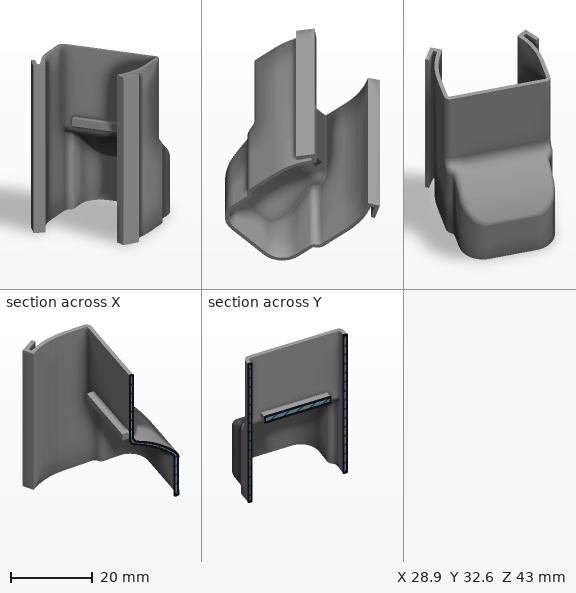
import cadquery as cq
import math

HEIGHT = 43.0
WALL = 1.0

BODY_HALF_WIDTH = 13.5
LEG_START_Y = 11.5
SHOULDER_Y = 19.52
SHOULDER_RADIUS = 2.5
NECK_RADIUS = 0.7
HUMP_HALF_WIDTH = 12.05
HUMP_BACK_Y = 32.65
HUMP_CORNER_RADIUS = 6.0

BACK_WALL_Y = 19.18
BEND_Z = 23.15
BEND_RADIUS = 1.98
BEND_ANGLE = math.radians(68)
DOME_RADIUS = 27.95
EDGE_RADIUS = 1.5

LEG_INNER_RADIUS = 17.85
HOOK_TILT = math.radians(32)
LEG_TIP_LENGTH = 0.5
HOOK_WIDTH = 3.0
LIP_LENGTH = 4.5

TAB_WIDTH = 18.05
TAB_DEPTH = 1.98
TAB_HEIGHT = 1.95


def polar(center, radius, angle):
    """Point at the given radius and angle around a center."""
    return (center[0] + radius * math.cos(angle), center[1] + radius * math.sin(angle))


def plan_prism(inset):
    """Full-height prism of the body and hump outline, moved inward by inset."""
    body_x = BODY_HALF_WIDTH - inset
    hump_x = HUMP_HALF_WIDTH - inset
    back_y = HUMP_BACK_Y - inset
    shoulder_r = SHOULDER_RADIUS - inset
    neck_r = NECK_RADIUS + inset
    corner_r = HUMP_CORNER_RADIUS - inset

    shoulder_center = (body_x - shoulder_r, SHOULDER_Y)
    neck_center_x = hump_x + neck_r
    neck_angle = math.acos((neck_center_x - shoulder_center[0]) / (shoulder_r + neck_r))
    neck_center = polar(shoulder_center, shoulder_r + neck_r, neck_angle)
    corner_center = (hump_x - corner_r, back_y - corner_r)
    neck_mid_angle = math.pi + neck_angle / 2

    half = (
        cq.Workplane("XY")
        .moveTo(0, LEG_START_Y)
        .lineTo(body_x, LEG_START_Y)
        .lineTo(body_x, SHOULDER_Y)
        .threePointArc(
            polar(shoulder_center, shoulder_r, neck_angle / 2),
            polar(shoulder_center, shoulder_r, neck_angle),
        )
        .threePointArc(polar(neck_center, neck_r, neck_mid_angle), (hump_x, neck_center[1]))
        .lineTo(hump_x, corner_center[1])
        .threePointArc(polar(corner_center, corner_r, math.pi / 4), (corner_center[0], back_y))
        .lineTo(0, back_y)
    )
    return half.mirrorY().extrude(HEIGHT)


def side_prism(inset):
    """Prism of the side profile: straight upper back, outward bend and domed hump top."""
    bend_r = BEND_RADIUS + inset
    dome_r = DOME_RADIUS - inset
    wall_y = BACK_WALL_Y - inset
    back_y = HUMP_BACK_Y - inset
    bend_center = (wall_y + bend_r, BEND_Z)
    dome_center = polar(bend_center, bend_r + dome_r, math.pi + BEND_ANGLE)
    dome_end_angle = math.acos((back_y - dome_center[0]) / dome_r)

    return (
        cq.Workplane("YZ", origin=(-BODY_HALF_WIDTH, 0, 0))
        .moveTo(LEG_START_Y, 0)
        .lineTo(back_y, 0)
        .lineTo(*polar(dome_center, dome_r, dome_end_angle))
        .threePointArc(
            polar(dome_center, dome_r, (dome_end_angle + BEND_ANGLE) / 2),
            polar(dome_center, dome_r, BEND_ANGLE),
        )
        .threePointArc(polar(bend_center, bend_r, math.pi + BEND_ANGLE / 2), (wall_y, BEND_Z))
        .lineTo(wall_y, HEIGHT)
        .lineTo(LEG_START_Y, HEIGHT)
        .close()
        .extrude(2 * BODY_HALF_WIDTH)
    )


def rounded_block(inset):
    """Body and hump as a solid, with the rim of its back surface rounded."""
    block = plan_prism(inset).intersect(side_prism(inset))
    corner = (BODY_HALF_WIDTH - inset, BACK_WALL_Y - inset, (BEND_Z + HEIGHT) / 2)
    rim = block.edges(cq.selectors.NearestToPointSelector(corner))
    other_rim = block.edges(cq.selectors.NearestToPointSelector((-corner[0], corner[1], corner[2])))
    return block.newObject(rim.vals() + other_rim.vals()).fillet(EDGE_RADIUS - inset)


def leg():
    """Right-hand leg: wall curving inward and ending in an outward-turned hook."""
    along = (math.sin(HOOK_TILT), math.cos(HOOK_TILT))
    across = (math.cos(HOOK_TILT), -math.sin(HOOK_TILT))

    inner_x = BODY_HALF_WIDTH - WALL
    outer_radius = LEG_INNER_RADIUS + WALL
    center = (inner_x - LEG_INNER_RADIUS, LEG_START_Y)
    inner_end = polar(center, LEG_INNER_RADIUS, -HOOK_TILT)
    corner = (inner_end[0] - LEG_TIP_LENGTH * along[0], inner_end[1] - LEG_TIP_LENGTH * along[1])

    def hook_point(u, v):
        """Point u across the hook and v up from its floor."""
        return (corner[0] + u * across[0] + v * along[0], corner[1] + u * across[1] + v * along[1])

    wall = (
        cq.Workplane("XY")
        .moveTo(inner_x, LEG_START_Y)
        .threePointArc(polar(center, LEG_INNER_RADIUS, -HOOK_TILT / 2), inner_end)
        .lineTo(*corner)
        .lineTo(*hook_point(WALL, 0))
        .lineTo(*hook_point(WALL, LEG_TIP_LENGTH))
        .threePointArc(polar(center, outer_radius, -HOOK_TILT / 2), (BODY_HALF_WIDTH, LEG_START_Y))
        .close()
        .extrude(HEIGHT)
    )
    hook_outline = [
        hook_point(WALL / 2, 0),
        hook_point(HOOK_WIDTH, 0),
        hook_point(HOOK_WIDTH, LIP_LENGTH),
        hook_point(HOOK_WIDTH - WALL, LIP_LENGTH),
        hook_point(HOOK_WIDTH - WALL, WALL),
        hook_point(WALL / 2, WALL),
    ]
    hook = cq.Workplane("XY").polyline(hook_outline).close().extrude(HEIGHT)
    return wall.union(hook)


def tab():
    """Small stop bar on the inside of the back wall, just above the bend."""
    tab_back_y = BACK_WALL_Y - WALL / 2
    tab_front_y = BACK_WALL_Y - WALL - TAB_DEPTH
    return cq.Workplane("XY").box(
        TAB_WIDTH, tab_back_y - tab_front_y, TAB_HEIGHT, centered=(True, False, False)
    ).translate((0, tab_front_y, BEND_Z))


shell = rounded_block(0).cut(rounded_block(WALL))
right_leg = leg()
left_leg = right_leg.mirror("YZ")
result = shell.union(right_leg).union(left_leg).union(tab())